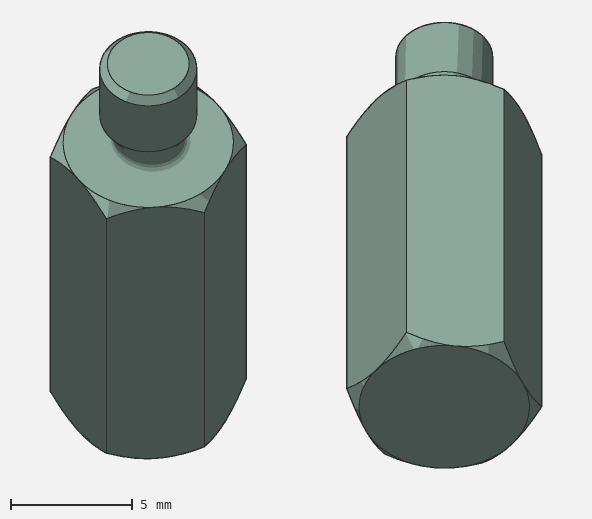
import cadquery as cq
import math

total_height = 21
across_flats = 7.0
body_height = 16.0
corner_radius = across_flats / math.sqrt(3)
body_chamfer = corner_radius - across_flats / 2

stud_radius = 4 / 2
tip_chamfer = 0.32
neck_radius = 2.9 / 2
undercut_width = 1.76
undercut_fillet = 0.42
undercut_angle = math.radians(30)


def make_body():
    """Hexagonal prism with both ends turned to a 45 degree cone."""
    prism = cq.Workplane("XY").polygon(6, 2 * corner_radius).extrude(body_height)
    turned_blank = (
        cq.Workplane("XY").circle(corner_radius).extrude(body_height).edges().chamfer(body_chamfer)
    )
    return prism.intersect(turned_blank)


def make_stud():
    """Revolved stud: root fillet, neck, blended taper, shank and tip chamfer."""
    root_center_radius = neck_radius + undercut_fillet
    root_top = body_height + undercut_fillet
    taper_top = body_height + undercut_width

    blend_offset = undercut_fillet * (1 - math.cos(undercut_angle))
    blend_end_radius = neck_radius + blend_offset
    taper_height = (stud_radius - blend_end_radius) / math.tan(undercut_angle)
    blend_end = taper_top - taper_height
    neck_top = blend_end - undercut_fillet * math.sin(undercut_angle)

    half_angle = undercut_angle / 2
    blend_middle = (
        root_center_radius - undercut_fillet * math.cos(half_angle),
        neck_top + undercut_fillet * math.sin(half_angle),
    )
    diagonal = undercut_fillet * math.sqrt(0.5)
    root_middle = (root_center_radius - diagonal, root_top - diagonal)

    profile = (
        cq.Workplane("XZ")
        .moveTo(0, body_height)
        .lineTo(root_center_radius, body_height)
        .threePointArc(root_middle, (neck_radius, root_top))
        .lineTo(neck_radius, neck_top)
        .threePointArc(blend_middle, (blend_end_radius, blend_end))
        .lineTo(stud_radius, taper_top)
        .lineTo(stud_radius, total_height - tip_chamfer)
        .lineTo(stud_radius - tip_chamfer, total_height)
        .lineTo(0, total_height)
        .close()
    )
    return profile.revolve(360, (0, 0, 0), (0, 1, 0))


result = make_body().union(make_stud())